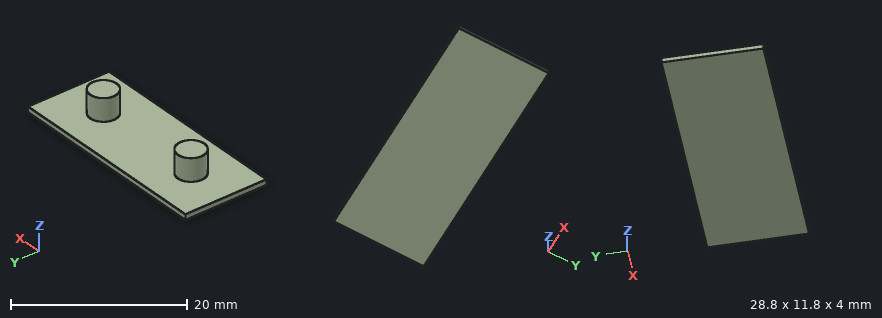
import cadquery as cq

plate_length = 28.8
plate_width = 11.8
plate_thickness = 0.8

overall_height = 4.0
pin_diameter = 3.8
pin_spacing = 16.0
pin_height = overall_height - plate_thickness


def make_plate():
    """Flat rectangular plate with its underside at Z = 0."""
    return cq.Workplane("XY").box(
        plate_length, plate_width, plate_thickness, centered=(True, True, False)
    )


def add_pins(plate):
    """Add the pins on the long centre line, symmetric about the middle."""
    return (
        plate.faces(">Z")
        .workplane()
        .pushPoints([(-pin_spacing / 2, 0), (pin_spacing / 2, 0)])
        .circle(pin_diameter / 2)
        .extrude(pin_height)
    )


result = add_pins(make_plate())